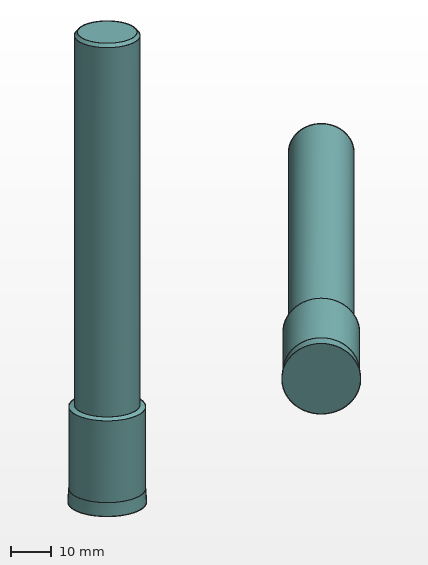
import cadquery as cq

total_length = 125.0
shank_radius = 8.1
chamfer_width = 0.8
chamfer_height = 0.9
collar_radius = 9.5
collar_top = 25.9
shoulder_height = 0.5
tip_radius = 9.8
tip_height = 3.6


def make_holder():
    """Shank with a chamfered end and a wider collar, revolved about Z."""
    shoulder_bottom = collar_top - shoulder_height
    return (
        cq.Workplane("XZ")
        .moveTo(0, tip_height)
        .lineTo(collar_radius, tip_height)
        .lineTo(collar_radius, shoulder_bottom)
        .lineTo(shank_radius, collar_top)
        .lineTo(shank_radius, total_length - chamfer_height)
        .lineTo(shank_radius - chamfer_width, total_length)
        .lineTo(0, total_length)
        .close()
        .revolve(360, (0, 0, 0), (0, 1, 0))
    )


def make_tip():
    """Cutting tip: a short disc that flares from the collar to the bottom face."""
    return (
        cq.Workplane("XZ")
        .lineTo(tip_radius, 0)
        .lineTo(collar_radius, tip_height)
        .lineTo(0, tip_height)
        .close()
        .revolve(360, (0, 0, 0), (0, 1, 0))
    )


holder = make_holder()
tip = make_tip()

result = cq.Compound.makeCompound([holder.val(), tip.val()])